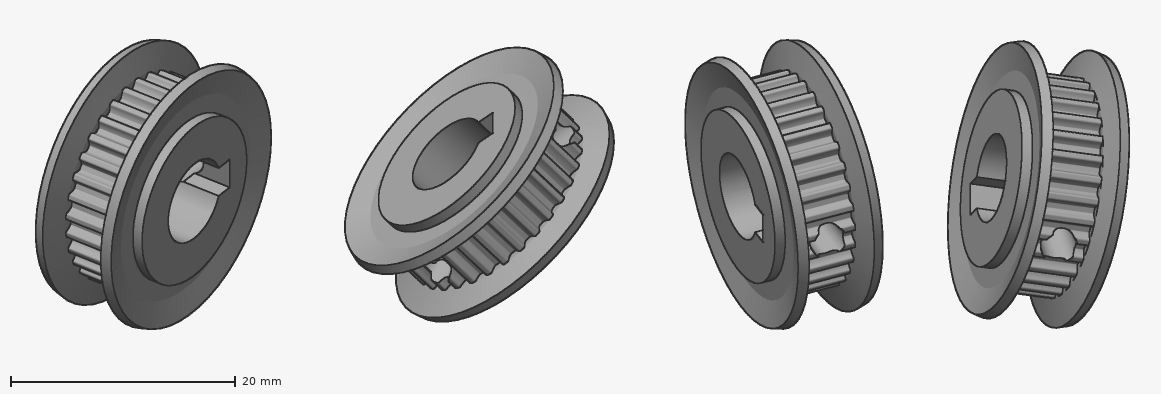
import cadquery as cq
import math

hub_length = 9.0
hub_diameter = 16.0
flange_diameter = 25.0
belt_width = 5.0

sheet_thickness = 1.0
flange_bend_angle = math.radians(15)

tooth_count = 32
tooth_diameter = 19.88
groove_depth = 0.75
opening_half_width = 0.65
floor_half_width = 0.25
flank_radius = 1.3
floor_corner_radius = 0.1
tip_radius = 0.2
cut_clearance = 0.25

bore_diameter = 8.0
key_width = 3.0
key_floor_height = 5.4
screw_diameter = 3.25
screw_spacing_teeth = 11

tooth_pitch_angle = 360 / tooth_count
screw_angles = (0, -screw_spacing_teeth * tooth_pitch_angle)
tooth_radius = tooth_diameter / 2
flange_radius = flange_diameter / 2


def cylinder(diameter, length):
    """Cylinder along X, centred on the origin."""
    return cq.Workplane("YZ").circle(diameter / 2).extrude(length / 2, both=True)


def make_flange():
    """Sheet ring on the +X side: flat beside the teeth, then bent outward to a cone."""
    inner_x = belt_width / 2
    outer_x = inner_x + sheet_thickness
    inner_bend_radius = tooth_radius
    outer_bend_radius = inner_bend_radius - sheet_thickness * math.tan(flange_bend_angle / 2)
    rim_x = inner_x + (flange_radius - inner_bend_radius) * math.tan(flange_bend_angle)
    core_radius = bore_diameter / 2
    profile = [
        (inner_x, core_radius),
        (inner_x, inner_bend_radius),
        (rim_x, flange_radius),
        (
            rim_x + sheet_thickness * math.cos(flange_bend_angle),
            flange_radius - sheet_thickness * math.sin(flange_bend_angle),
        ),
        (outer_x, outer_bend_radius),
        (outer_x, core_radius),
    ]
    return cq.Workplane("XY").polyline(profile).close().revolve(360, (0, 0, 0), (1, 0, 0))


def arc_middle(start, end, radius):
    """Middle point of an arc that bulges to the right of the direction from start to end."""
    chord_x = end[0] - start[0]
    chord_y = end[1] - start[1]
    chord = math.hypot(chord_x, chord_y)
    bulge = radius - math.sqrt(radius**2 - chord**2 / 4)
    return (
        (start[0] + end[0]) / 2 + bulge * chord_y / chord,
        (start[1] + end[1]) / 2 - bulge * chord_x / chord,
    )


def mirrored(point):
    """Point reflected across the groove's centre plane."""
    return (-point[0], point[1])


def make_groove():
    """Tooth groove at +Z: flat floor with small corner rounds and hollow flanks."""
    floor_corner = (floor_half_width, tooth_radius - groove_depth)
    opening_corner = (
        opening_half_width,
        math.sqrt(tooth_radius**2 - opening_half_width**2),
    )
    flank_middle = arc_middle(floor_corner, opening_corner, flank_radius)
    outside = (opening_half_width, tooth_radius + cut_clearance)
    groove = (
        cq.Workplane("YZ")
        .moveTo(*mirrored(floor_corner))
        .lineTo(*floor_corner)
        .threePointArc(flank_middle, opening_corner)
        .lineTo(*outside)
        .lineTo(*mirrored(outside))
        .lineTo(*mirrored(opening_corner))
        .threePointArc(mirrored(flank_middle), mirrored(floor_corner))
        .close()
        .extrude(belt_width / 2, both=True)
    )
    return groove.edges("(|X) and (<Z)").fillet(floor_corner_radius)


def make_toothed_core():
    """Belt cylinder with its grooves and rounded tooth tips; one groove is centred on +Y."""
    core = cylinder(tooth_diameter, belt_width)
    groove = make_groove()
    for index in range(tooth_count):
        core = core.cut(groove.rotate((0, 0, 0), (1, 0, 0), index * tooth_pitch_angle))

    groove_middle_radius = tooth_radius - groove_depth / 2

    def is_tip_edge(edge):
        middle = edge.Center()
        return math.hypot(middle.y, middle.z) > groove_middle_radius

    return core.edges("|X").filter(is_tip_edge).fillet(tip_radius)


def make_screw_hole(angle):
    """Radial hole from the bore axis out through the teeth, turned about X from +Y."""
    hole = cq.Workplane("XZ").circle(screw_diameter / 2).extrude(-tooth_radius)
    return hole.rotate((0, 0, 0), (1, 0, 0), angle)


flange = make_flange()
body = make_toothed_core().union(cylinder(hub_diameter, hub_length))
body = body.union(flange).union(flange.mirror("YZ"))

keyway = cq.Workplane("XY").box(hub_length, key_floor_height, key_width, centered=(True, False, True))
body = body.cut(cylinder(bore_diameter, hub_length)).cut(keyway)

for screw_angle in screw_angles:
    body = body.cut(make_screw_hole(screw_angle))

result = body